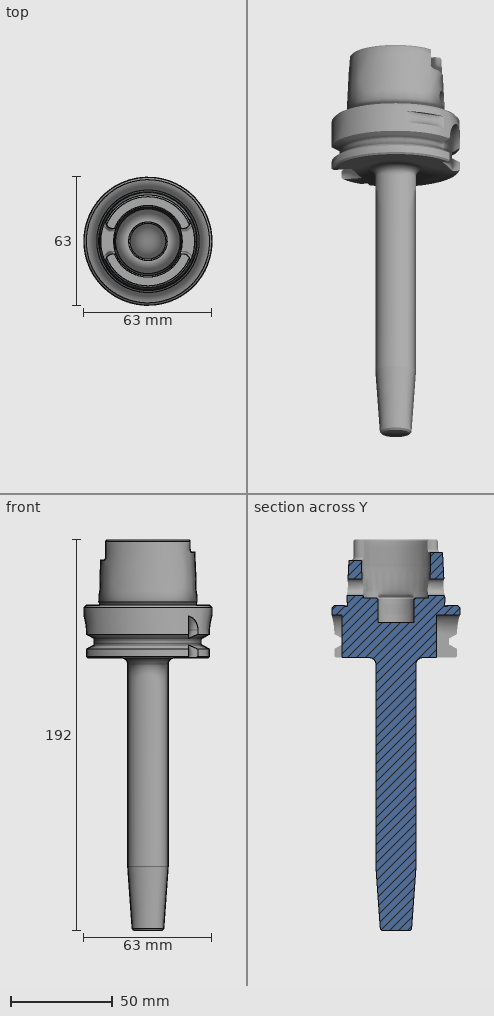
import cadquery as cq
import math


shank_length = 32.0
taper_gauge_diameter = 48.0
taper_gauge_height = 6.3
taper_slope = 1 / 20
shank_chamfer = 0.8
relief_height = 1.5
relief_depth = 0.3
face_recess_radius = 25.2
face_recess_depth = 0.5

bore_radius = 16.9
bore_chamfer = 0.7
bore_straight_depth = 13.2
bore_floor_radius = 15.9
bore_floor_height = 3.5
thread_radius = 8.8
thread_chamfer = 0.7
thread_depth = 12.0

flange_radius = 31.5
flange_length = 26.0
flange_top_chamfer = 1.2
flange_bottom_chamfer = 0.8
groove_height = -18.0
groove_core_radius = 27.6
groove_core_width = 2.8
groove_root_fillet = 0.8
groove_flank_angle = 30.0

stem_radius = 10.0
stem_fillet = 3.0
overall_reach = 160.0
nose_length = 31.6
nose_tip_radius = 7.8
nose_chamfer = 0.9

drive_slot_width = 12.5
drive_slot_flare_radius = 3.6
drive_slot_flat_distance = 20.8
drive_slot_floor_fillet = 1.3
deep_drive_slot_depth = 9.9
shallow_drive_slot_depth = 6.0

cross_hole_diameter = 7.8
cross_hole_height = 8.7

keyway_width = 18.0
keyway_top_height = -5.0
shallow_keyway_floor_distance = 26.6
deep_floor_distance = 20.0

notch_wall_distance = 19.7
notch_arch_radius = 7.5
notch_top_height = -4.8
label_flat_distance = 29.66
label_flat_height = 5.8
label_flat_center_height = -7.1
label_flat_direction = 135.0

root_search = 0.2
clearance = 5.0


def taper_radius(height):
    """Outer radius of the taper shank at a height above the flange face."""
    return taper_gauge_diameter / 2 - taper_slope * (height - taper_gauge_height)


def turned_body():
    """Solid of revolution: shank, flange, stem and nose, without the bores."""
    shank_shoulder = shank_length - shank_chamfer
    shank_base_radius = taper_radius(relief_height)
    relief_radius = shank_base_radius - relief_depth

    groove_depth = flange_radius - groove_core_radius
    core_half = groove_core_width / 2
    rim_half = core_half + groove_depth * math.tan(math.radians(groove_flank_angle))

    fillet_end = -flange_length - stem_fillet
    fillet_turn = stem_fillet * (1 - math.sqrt(0.5))
    nose_top = nose_length - overall_reach

    outline = (
        cq.Workplane("XZ")
        .moveTo(0, shank_length)
        .lineTo(taper_radius(shank_length) - shank_chamfer, shank_length)
        .lineTo(taper_radius(shank_shoulder), shank_shoulder)
        .lineTo(shank_base_radius, relief_height)
        .lineTo(relief_radius, relief_height)
        .lineTo(relief_radius, -face_recess_depth)
        .lineTo(face_recess_radius, -face_recess_depth)
        .lineTo(face_recess_radius, 0)
        .lineTo(flange_radius - flange_top_chamfer, 0)
        .lineTo(flange_radius, -flange_top_chamfer)
        .lineTo(flange_radius, groove_height + rim_half)
        .lineTo(groove_core_radius, groove_height + core_half)
        .lineTo(groove_core_radius, groove_height - core_half)
        .lineTo(flange_radius, groove_height - rim_half)
        .lineTo(flange_radius, flange_bottom_chamfer - flange_length)
        .lineTo(flange_radius - flange_bottom_chamfer, -flange_length)
        .lineTo(stem_radius + stem_fillet, -flange_length)
        .threePointArc(
            (stem_radius + fillet_turn, -flange_length - fillet_turn),
            (stem_radius, fillet_end),
        )
        .lineTo(stem_radius, nose_top)
        .lineTo(nose_tip_radius, nose_chamfer - overall_reach)
        .lineTo(nose_tip_radius - nose_chamfer, -overall_reach)
        .lineTo(0, -overall_reach)
        .close()
    )
    body = outline.revolve(360, (0, 0), (0, 1))
    root_edges = cq.selectors.BoxSelector(
        (-flange_radius, -flange_radius, groove_height - core_half - root_search),
        (flange_radius, flange_radius, groove_height + core_half + root_search),
        boundingbox=True,
    )
    return body.edges("%CIRCLE").edges(root_edges).fillet(groove_root_fillet)


def bore_cutter():
    """Chamfered shank bore, narrowing to its floor, with the thread hole below."""
    outline = (
        cq.Workplane("XZ")
        .moveTo(0, shank_length)
        .lineTo(bore_radius + bore_chamfer, shank_length)
        .lineTo(bore_radius, shank_length - bore_chamfer)
        .lineTo(bore_radius, shank_length - bore_straight_depth)
        .lineTo(bore_floor_radius, bore_floor_height)
        .lineTo(thread_radius + thread_chamfer, bore_floor_height)
        .lineTo(thread_radius, bore_floor_height - thread_chamfer)
        .lineTo(thread_radius, bore_floor_height - thread_depth)
        .lineTo(0, bore_floor_height - thread_depth)
        .close()
    )
    return outline.revolve(360, (0, 0), (0, 1))


def drive_slot_cutter(side, depth):
    """Slot through one wall (side = +1 or -1 along X), flaring where it meets the outside."""
    half_width = drive_slot_width / 2
    flare = drive_slot_flare_radius
    flare_start = drive_slot_flat_distance - flare
    flare_turn = flare * math.sqrt(0.5)
    flare_end = half_width + flare
    side_reach = flange_radius
    cutter = (
        cq.Workplane("XY")
        .workplane(offset=shank_length - depth)
        .moveTo(0, -half_width)
        .lineTo(side * flare_start, -half_width)
        .threePointArc(
            (side * (flare_start + flare_turn), -flare_end + flare_turn),
            (side * drive_slot_flat_distance, -flare_end),
        )
        .lineTo(side * drive_slot_flat_distance, -side_reach)
        .lineTo(side * side_reach, -side_reach)
        .lineTo(side * side_reach, side_reach)
        .lineTo(side * drive_slot_flat_distance, side_reach)
        .lineTo(side * drive_slot_flat_distance, flare_end)
        .threePointArc(
            (side * (flare_start + flare_turn), flare_end - flare_turn),
            (side * flare_start, half_width),
        )
        .lineTo(0, half_width)
        .close()
        .extrude(depth + clearance)
    )
    return cutter.faces("<Z").edges().fillet(drive_slot_floor_fillet)


def cross_hole_cutter():
    """Round hole along X through both walls of the shank."""
    return (
        cq.Workplane("YZ")
        .center(0, cross_hole_height)
        .circle(cross_hole_diameter / 2)
        .extrude(flange_radius, both=True)
    )


def arched_cutter(center_y, half_width, top_height, floor_x, side):
    """Round-topped keyway cutter running outward along X from its flat floor."""
    arch_height = top_height - half_width
    foot = -flange_length
    return (
        cq.Workplane("YZ")
        .workplane(offset=side * floor_x)
        .moveTo(center_y - half_width, foot)
        .lineTo(center_y - half_width, arch_height)
        .threePointArc((center_y, top_height), (center_y + half_width, arch_height))
        .lineTo(center_y + half_width, foot)
        .close()
        .extrude(side * (flange_radius - floor_x + clearance))
    )


def label_flat_cutter():
    """Small flat milled into the flange rim."""
    box = cq.Workplane("XY").box(
        clearance, flange_radius, label_flat_height, centered=(False, True, True)
    )
    return box.translate((label_flat_distance, 0, label_flat_center_height)).rotate(
        (0, 0, 0), (0, 0, 1), label_flat_direction
    )


result = turned_body().cut(bore_cutter())
result = result.cut(drive_slot_cutter(-1, deep_drive_slot_depth))
result = result.cut(drive_slot_cutter(1, shallow_drive_slot_depth))
result = result.cut(cross_hole_cutter())
for keyway_side, keyway_floor in ((-1, shallow_keyway_floor_distance), (1, deep_floor_distance)):
    keyway = arched_cutter(0, keyway_width / 2, keyway_top_height, keyway_floor, keyway_side)
    result = result.cut(keyway)
notch_center_y = -notch_wall_distance - notch_arch_radius
notch = arched_cutter(notch_center_y, notch_arch_radius, notch_top_height, deep_floor_distance, 1)
result = result.cut(notch)
result = result.cut(label_flat_cutter())